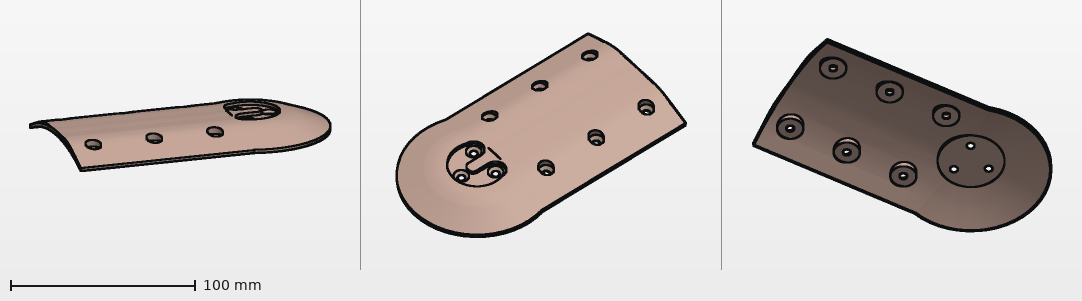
import cadquery as cq
import math

length = 155.2
width = 87.0
height = 10.7
dome_radius = width / 2
plate_half_width = 41.9
plate_start_y = -12.3
plate_length = length - dome_radius + plate_start_y

slope_angle = math.radians(21.8)
crown_rise = 0.12
flat_height = height - crown_rise
plate_flat = 12.9
plate_slope_start = 26.4
dome_flat = 14.6
dome_slope_start = 28.7
dome_end_angle = 16.0

inner_height = 8.5
rim_foot_width = 0.8

core_rim_height = 1.5
end_lip = 0.2

recess_radius = 16.1
recess_floor = 8.7
pad_margin = 2.0
pad_radius = recess_radius + pad_margin
pad_bottom = 7.0
tongue_half_width = 3.5
tongue_tip_y = 6.4

hole_diameter = 4.2
sink_diameter = 8.5
sink_depth = (sink_diameter - hole_diameter) / 2
dome_screw_circle = 10.9
dome_screw_angles = (90, 210, 330)
dome_sink_depth = 1.5
plate_screw_x = 24.2
plate_screw_first_y = -28.5
plate_screw_pitch = 34.9
plate_screw_count = 3
screw_boss_radius = 7.1
screw_boss_bottom = 3.3
plate_sink_top = 6.0

dome_screws = [
    (
        dome_screw_circle * math.cos(math.radians(angle)),
        dome_screw_circle * math.sin(math.radians(angle)),
    )
    for angle in dome_screw_angles
]
plate_screws = [
    (side * plate_screw_x, plate_screw_first_y - row * plate_screw_pitch)
    for side in (-1, 1)
    for row in range(plate_screw_count)
]


def arch_point(top, rim, rim_height, x):
    """Point at `x` on the arc that is level at (0, top) and ends at (rim, rim_height)."""
    drop = top - rim_height
    radius = (rim**2 + drop**2) / (2 * drop)
    return x, top - radius + math.sqrt(radius**2 - x**2)


def close_inside(outline, rim):
    """Finish a half section from the rim bottom along the inner arc to the centre line."""
    foot = rim - rim_foot_width
    middle = arch_point(inner_height, foot, 0, foot / 2)
    return outline.lineTo(foot, 0).threePointArc(middle, (0, inner_height)).close()


def outer_outline(plane, flat, slope_start, rim):
    """Outer half profile from the centre line to the bottom of the rim."""
    arc_radius = (slope_start - flat) / math.sin(slope_angle)
    arc_centre_z = flat_height - arc_radius
    arc_mid = (
        flat + arc_radius * math.sin(slope_angle / 2),
        arc_centre_z + arc_radius * math.cos(slope_angle / 2),
    )
    slope_top = arc_centre_z + arc_radius * math.cos(slope_angle)
    rim_top = slope_top - (rim - slope_start) * math.tan(slope_angle)
    return (
        cq.Workplane(plane)
        .moveTo(0, flat_height)
        .lineTo(flat, flat_height)
        .threePointArc(arc_mid, (slope_start, slope_top))
        .lineTo(rim, rim_top)
        .lineTo(rim, 0)
    )


def upright_plane(angle, y=0.0):
    """Vertical plane whose local x points along `angle` (degrees) and local y points up."""
    turn = math.radians(angle)
    return cq.Plane(
        origin=(0, y, 0),
        xDir=(math.cos(turn), math.sin(turn), 0),
        normal=(math.sin(turn), -math.cos(turn), 0),
    )


def dome_section():
    """Half section of the dome at the angle where its round sweep ends."""
    plane = upright_plane(-dome_end_angle)
    return close_inside(outer_outline(plane, dome_flat, dome_slope_start, dome_radius), dome_radius)


def plate_section():
    """Half section of the plate where it starts."""
    plane = upright_plane(0, plate_start_y)
    outline = outer_outline(plane, plate_flat, plate_slope_start, plate_half_width)
    return close_inside(outline, plate_half_width)


def core_outline():
    """Outer half profile of the arched core inside the plate."""
    middle = arch_point(height, plate_half_width, core_rim_height, plate_half_width / 2)
    return (
        cq.Workplane(upright_plane(0, plate_start_y))
        .moveTo(0, height)
        .threePointArc(middle, (plate_half_width, core_rim_height))
        .lineTo(plate_half_width, 0)
    )


def core_section():
    return close_inside(core_outline(), plate_half_width)


def both_sides(half):
    return half.union(half.mirror("YZ"))


def cylinder(points, radius, bottom, top):
    return cq.Workplane().workplane(offset=bottom).pushPoints(points).circle(radius).extrude(top - bottom)


def make_dome():
    return dome_section().revolve(180 + 2 * dome_end_angle, (0, 0), (0, 1))


def make_transition():
    """Wedges that blend the last dome sections into the first plate section."""
    wedge = cq.Solid.makeLoft([dome_section().val(), plate_section().val()], True)
    return both_sides(cq.Workplane(wedge))


def make_plate():
    """Arched core under a flat-topped skin that overhangs the core's end by a small lip."""
    skin = plate_section().extrude(plate_length).cut(core_section().extrude(plate_length))
    core = core_section().extrude(plate_length - end_lip)
    return both_sides(core.union(skin))


def make_screw_bosses():
    """Bosses hanging from the underside of the plate, kept under its outer surface."""
    bosses = cylinder(plate_screws, screw_boss_radius, screw_boss_bottom, inner_height)
    envelope = both_sides(core_outline().lineTo(0, 0).close().extrude(plate_length))
    return bosses.intersect(envelope)


def make_recess():
    """Round pocket with a tongue of full-height crown left standing between the lower screws."""
    depth = height - recess_floor
    floor = cq.Workplane().workplane(offset=recess_floor)
    lower_screws = dome_screws[1:]
    screw_y = lower_screws[0][1]
    pocket_end_radius = abs(lower_screws[0][0]) - tongue_half_width
    above_screws = (
        floor.center(0, screw_y + recess_radius)
        .rect(2 * recess_radius, 2 * recess_radius)
        .extrude(depth)
    )
    pocket = floor.circle(recess_radius).extrude(depth).intersect(above_screws)
    pocket = pocket.union(cylinder(lower_screws, pocket_end_radius, recess_floor, height))
    tongue_centre_y = tongue_tip_y - tongue_half_width
    tongue_length = tongue_centre_y - plate_start_y
    tongue = (
        floor.center(0, tongue_centre_y - tongue_length / 2)
        .rect(2 * tongue_half_width, tongue_length)
        .extrude(depth)
        .union(cylinder([(0, tongue_centre_y)], tongue_half_width, recess_floor, height))
    )
    return pocket.cut(tongue)


def countersunk_holes(points, sink_top, depth):
    """Through holes with a conical seat and a clear bore above the seat."""
    seat = (
        cq.Workplane()
        .workplane(offset=sink_top - depth)
        .pushPoints(points)
        .circle(hole_diameter / 2)
        .extrude(depth, taper=-math.degrees(math.atan(sink_depth / depth)))
    )
    bore = cylinder(points, sink_diameter / 2, sink_top, height)
    return cylinder(points, hole_diameter / 2, 0, height).union(seat).union(bore)


shell = make_dome().union(make_transition()).union(make_plate())
shell = shell.union(make_screw_bosses())
shell = shell.union(cylinder([(0, 0)], pad_radius, pad_bottom, recess_floor))

result = (
    shell.cut(make_recess())
    .cut(countersunk_holes(dome_screws, recess_floor, dome_sink_depth))
    .cut(countersunk_holes(plate_screws, plate_sink_top, sink_depth))
)